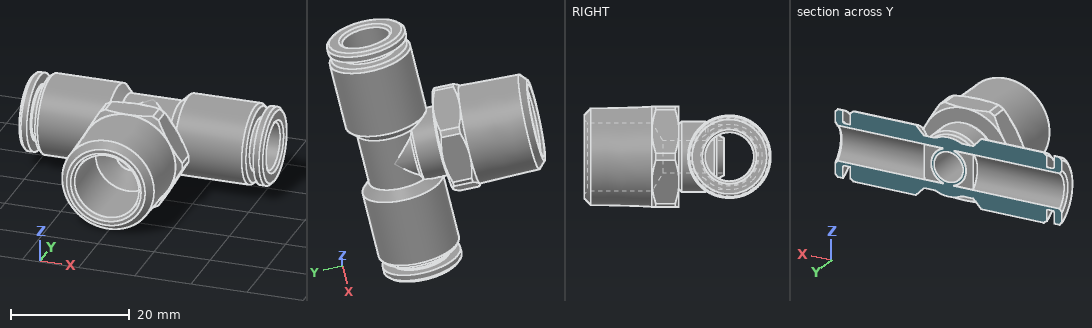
import cadquery as cq
import math

run_half_length = 21.7
collar_inner_face = 20.18
body_outer_face = 18.8
body_shoulder = 6.25
waist_half_length = 4.67
collar_radius = 6.78
collar_neck_radius = 4.7
body_radius = 7.0
waist_radius = 5.5
collar_chamfer = 0.5
collar_root_chamfer = 0.2
body_chamfer_length = 0.6
body_chamfer_height = 0.45
run_bore_radius = 4.1
run_mouth_chamfer = 0.46

branch_end = 24.5
nut_top = 8.5
nut_bottom = 13.05
shank_radius = 5.97
shank_start = 3.62
shank_chamfer = 0.45

across_flats = 17.0
nut_corner_radius = 9.5
nut_chamfer_length = 0.64

thread_top_radius = 8.46
thread_bottom_radius = 8.2
thread_tip_radius = 7.0
thread_tip_chamfer_length = 1.15

branch_bore_radius = 5.74
branch_mouth_chamfer = 0.53
branch_bore_bottom = nut_bottom
passage_radius = 2.74
drill_half_angle = math.radians(59)

floor_depth = 2.55
barb_root_depth = 2.15
spigot_tip = 0.88
spigot_tip_radius = 3.15
barb_radius = 3.85
barb_neck_radius = 3.35

OVERCUT = 1.0


def turn_about_x(points):
    """Revolve a closed (x, radius) profile about the X axis."""
    return cq.Workplane("XY").polyline(points).close().revolve(360, (0, 0), (1, 0))


def turn_about_y(points):
    """Revolve a closed (radius, distance along -Y) profile about the Y axis."""
    profile = [(radius, -distance) for radius, distance in points]
    return cq.Workplane("XY").polyline(profile).close().revolve(360, (0, 0), (0, 1))


def make_run():
    """Outside of the run: waist, sleeves and release collars on both ends."""
    half_profile = [
        (0, 0),
        (0, waist_radius),
        (waist_half_length, waist_radius),
        (body_shoulder, body_radius),
        (body_outer_face - body_chamfer_length, body_radius),
        (body_outer_face, body_radius - body_chamfer_height),
        (body_outer_face, collar_neck_radius),
        (collar_inner_face - collar_root_chamfer, collar_neck_radius),
        (collar_inner_face, collar_neck_radius + collar_root_chamfer),
        (collar_inner_face, collar_radius),
        (run_half_length - collar_chamfer, collar_radius),
        (run_half_length, collar_radius - collar_chamfer),
        (run_half_length, 0),
    ]
    half = turn_about_x(half_profile)
    return half.union(half.mirror("YZ"))


def make_run_bore():
    """Straight bore through the run with a chamfered mouth at each end."""
    mouth_radius = run_bore_radius + run_mouth_chamfer
    half_profile = [
        (0, 0),
        (0, run_bore_radius),
        (run_half_length - run_mouth_chamfer, run_bore_radius),
        (run_half_length, mouth_radius),
        (run_half_length + OVERCUT, mouth_radius),
        (run_half_length + OVERCUT, 0),
    ]
    half = turn_about_x(half_profile)
    return half.union(half.mirror("YZ"))


def make_shank():
    """Branch stub: a core as wide as the waist, then a wider chamfered shank."""
    return turn_about_y([
        (0, 0),
        (waist_radius, 0),
        (waist_radius, shank_start),
        (shank_radius, shank_start + shank_chamfer),
        (shank_radius, nut_top - shank_chamfer),
        (shank_radius - shank_chamfer, nut_top),
        (0, nut_top),
    ])


def make_nut():
    """Hexagon with flats facing +Z and -Z, its corners turned down and chamfered."""
    across_corners = across_flats / math.cos(math.pi / 6)
    hexagon = (
        cq.Workplane("XZ", origin=(0, -nut_top, 0))
        .polygon(6, across_corners)
        .extrude(nut_bottom - nut_top)
    )
    face_radius = across_flats / 2
    envelope = turn_about_y([
        (0, nut_top),
        (face_radius, nut_top),
        (nut_corner_radius, nut_top + nut_chamfer_length),
        (nut_corner_radius, nut_bottom - nut_chamfer_length),
        (face_radius, nut_bottom),
        (0, nut_bottom),
    ])
    return hexagon.intersect(envelope)


def make_thread():
    """Tapered male end with a chamfered tip."""
    return turn_about_y([
        (0, nut_bottom),
        (thread_top_radius, nut_bottom),
        (thread_bottom_radius, branch_end - thread_tip_chamfer_length),
        (thread_tip_radius, branch_end),
        (0, branch_end),
    ])


def make_spigot():
    """Floor of the run bore, limited to the waist, with the barbed spigot on it."""
    floor = (
        cq.Workplane("XZ", origin=(0, -floor_depth, 0))
        .rect(2 * waist_half_length, 2 * run_bore_radius)
        .extrude(run_bore_radius - floor_depth)
        .intersect(make_run_bore())
    )
    barb = turn_about_y([
        (0, spigot_tip),
        (spigot_tip_radius, spigot_tip),
        (barb_radius, barb_root_depth),
        (barb_neck_radius, floor_depth),
        (barb_neck_radius, nut_top),
        (0, nut_top),
    ])
    return floor.union(barb)


def make_branch_passage():
    """Wide bore from the threaded end, a drill cone, and a narrow hole into the run."""
    mouth_radius = branch_bore_radius + branch_mouth_chamfer
    cone_length = (branch_bore_radius - passage_radius) / math.tan(drill_half_angle)
    return turn_about_y([
        (0, 0),
        (passage_radius, 0),
        (passage_radius, branch_bore_bottom - cone_length),
        (branch_bore_radius, branch_bore_bottom),
        (branch_bore_radius, branch_end - branch_mouth_chamfer),
        (mouth_radius, branch_end),
        (mouth_radius, branch_end + OVERCUT),
        (0, branch_end + OVERCUT),
    ])


outside = make_run().union(make_shank()).union(make_nut()).union(make_thread())
hollow_run = outside.cut(make_run_bore()).union(make_spigot())
result = hollow_run.cut(make_branch_passage())